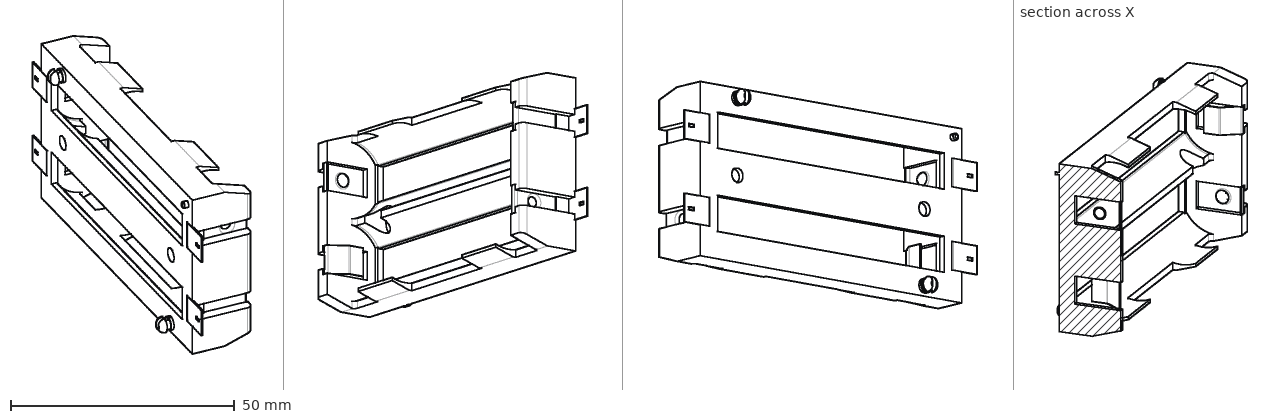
import cadquery as cq
import math

housing_length = 77.0
housing_width = 39.8
wall_height = 15.0
shoulder_height = 8.0
wall_top_width = 35.35
wall_edge_radius = 1.3
inner_length = 68.45
rail_height = 7.2
rail_fillet = 0.9

cell_pitch = 19.0
cell_radius = 8.9
cell_axis_height = 9.2
floor_thickness = 1.55
window_length = 66.6
window_width = 8.25

clip_height = 12.7
clip_length = 12.7
clip_offset = 19.35

screw_offset = 27.5
screw_hole_diameter = 3.3
screw_head_diameter = 6.2
screw_seat_height = 1.3

peg_offset_z = 17.55
peg_collar_diameter = 3.3
peg_collar_height = 0.7
peg_neck_diameter = 2.75
peg_head_base = 1.8
peg_head_diameter = 3.8
peg_tip_diameter = 1.7
peg_height = 3.35
peg_slot_width = 1.0
peg_slot_start = 0.5
pin_offset_x = 35.9
pin_diameter = 1.55
pin_height = 1.3
pin_chamfer = 0.35

sheet = 0.35
contact_width = 6.5
tab_end = 43.0
plate_face = 35.95
foot_bend_radius = 0.3
plate_base = 3.9
contact_top = 14.9
spring_bend_radius = 0.6
spring_tilt = 33.0
leaf_face = 31.9
leaf_bend_radius = 0.4
leaf_bottom = 6.7
button_bend_radius = 0.3
lip_end = 34.5

tab_hole_length = 1.5
tab_hole_width = 0.7
tab_hole_x = 41.0

dimple_height = 9.8
dimple_diameter = 3.8
dimple_mouth_radius = 1.2
dimple_depth = 1.7

outer_slot_width = 3.9
outer_slot_floor = 36.4

half_length = housing_length / 2
half_width = housing_width / 2
half_inner = inner_length / 2
cell_z = cell_pitch / 2
plate_middle = plate_face - sheet / 2
plate_back = plate_face - sheet


def block(x0, x1, y0, y1, z0, z1):
    """Box between two opposite corners."""
    return cq.Workplane("XY").box(x1 - x0, y1 - y0, z1 - z0, centered=False).translate((x0, y0, z0))


def cylinder_y(x, z, diameter, y0, y1):
    """Cylinder parallel to Y between two heights."""
    return cq.Workplane("XZ", origin=(x, y0, z)).circle(diameter / 2).extrude(y0 - y1)


def on_side(shape, side):
    """A shape drawn for the +X end, mirrored for the -X end."""
    return shape if side > 0 else shape.mirror("YZ")


def make_shell():
    """Outer block with rounded end edges, cut down to the rails and clips between the end walls."""
    top = wall_top_width / 2
    shell = (
        cq.Workplane("YZ")
        .polyline([
            (0, -half_width), (shoulder_height, -half_width), (wall_height, -top),
            (wall_height, top), (shoulder_height, half_width), (0, half_width),
        ])
        .close()
        .extrude(half_length, both=True)
        .edges("|Z and >Y")
        .fillet(wall_edge_radius)
    )
    opening = block(-half_inner, half_inner, rail_height, wall_height, -half_width, half_width)
    opening = opening.edges("|Z and <Y").fillet(rail_fillet)
    for x in (-clip_offset, clip_offset):
        for z0, z1 in ((-half_width, -cell_z), (cell_z, half_width)):
            opening = opening.cut(block(x - clip_length / 2, x + clip_length / 2, rail_height, clip_height, z0, z1))
    return shell.cut(opening)


def make_cell_beds():
    """Space for both cells, with the windows through the floor."""
    beds = None
    for z in (-cell_z, cell_z):
        bed = (
            cq.Workplane("YZ", origin=(0, cell_axis_height, z))
            .circle(cell_radius)
            .extrude(window_length / 2, both=True)
        )
        window = block(
            -window_length / 2, window_length / 2, 0, cell_axis_height,
            z - window_width / 2, z + window_width / 2,
        )
        end_space = block(
            -half_inner, half_inner, floor_thickness, wall_height,
            z - cell_radius, z + cell_radius,
        )
        bed = bed.union(window).union(end_space.intersect(
            cq.Workplane("YZ", origin=(0, cell_axis_height, z)).circle(cell_radius).extrude(half_inner, both=True)
        ))
        beds = bed if beds is None else beds.union(bed)
    return beds


def make_contact_space(z):
    """Recess, slit and wall openings that take one contact at the +X end."""
    z0, z1 = z - contact_width / 2, z + contact_width / 2
    inside_radius = foot_bend_radius - sheet / 2
    foot_space = (
        cq.Workplane("XY", origin=(0, 0, z0))
        .moveTo(plate_back, 0)
        .lineTo(half_length, 0)
        .lineTo(half_length, sheet)
        .lineTo(plate_face + inside_radius, sheet)
        .radiusArc((plate_face, sheet + inside_radius), inside_radius)
        .lineTo(plate_face, plate_base)
        .lineTo(plate_back, plate_base)
        .close()
        .extrude(contact_width)
    )
    inner_opening = block(half_inner, plate_face, plate_base, wall_height, z0, z1)
    s0, s1 = z - outer_slot_width / 2, z + outer_slot_width / 2
    outer_slot = block(outer_slot_floor, half_length, 0, wall_height, s0, s1)
    through_slot = block(plate_face, half_length, plate_base, wall_height, s0, s1)
    return foot_space.union(inner_opening).union(outer_slot).union(through_slot)


def make_peg():
    """Snap peg pointing to -Y, split by a slot."""
    peg = (
        cq.Workplane("XY")
        .moveTo(0, 0)
        .lineTo(peg_collar_diameter / 2, 0)
        .lineTo(peg_collar_diameter / 2, -peg_collar_height)
        .lineTo(peg_neck_diameter / 2, -peg_collar_height)
        .lineTo(peg_neck_diameter / 2, -peg_head_base)
        .lineTo(peg_head_diameter / 2, -peg_head_base)
        .radiusArc((peg_tip_diameter / 2, -peg_height), peg_head_diameter / 2)
        .lineTo(0, -peg_height)
        .close()
        .revolve(360, (0, 0, 0), (0, 1, 0))
    )
    half_slot = peg_slot_width / 2
    reach = peg_head_diameter
    return peg.cut(block(-half_slot, half_slot, -peg_height, -peg_slot_start, -reach, reach))


def make_housing():
    """Housing with its cell beds, screw holes, contact spaces, pegs and pin."""
    housing = make_shell().cut(make_cell_beds())
    for x in (-screw_offset, screw_offset):
        housing = housing.cut(cylinder_y(x, 0, screw_hole_diameter, 0, wall_height))
        housing = housing.cut(cylinder_y(x, 0, screw_head_diameter, screw_seat_height, wall_height))
    for side in (-1, 1):
        for z in (-cell_z, cell_z):
            housing = housing.cut(on_side(make_contact_space(z), side))
        housing = housing.union(make_peg().translate((side * screw_offset, 0, -side * peg_offset_z)))
    pin = cylinder_y(pin_offset_x, peg_offset_z, pin_diameter, -pin_height, 0)
    return housing.union(pin.faces("<Y").chamfer(pin_chamfer))


def start_strip(bend_radius):
    """Middle line of the sheet from the tab end up to the start of the bend at the top."""
    return (
        cq.Workplane("XY")
        .moveTo(tab_end, sheet / 2)
        .lineTo(plate_middle + foot_bend_radius, sheet / 2)
        .radiusArc((plate_middle, sheet / 2 + foot_bend_radius), foot_bend_radius)
        .lineTo(plate_middle, contact_top - sheet / 2 - bend_radius)
    )


def bend_strip(path, z):
    """Strip of sheet that follows a middle line, with the solder hole in its tab."""
    strip = (
        cq.Workplane("YZ", origin=(tab_end, sheet / 2, 0))
        .rect(sheet, contact_width)
        .sweep(path)
    )
    hole = cq.Workplane("XZ", origin=(tab_hole_x, 0, 0)).rect(tab_hole_length, tab_hole_width)
    return strip.cut(hole.extrude(-sheet)).translate((0, 0, z))


def make_spring_contact(z):
    """Contact at the +X end with a slanted leaf that bears on the cell."""
    tilt = math.radians(spring_tilt)
    bend_x = plate_middle - spring_bend_radius
    bend_y = contact_top - sheet / 2 - spring_bend_radius
    slant_x = bend_x - spring_bend_radius * math.cos(tilt)
    slant_y = bend_y + spring_bend_radius * math.sin(tilt)
    leaf_x = leaf_face + sheet / 2
    corner_y = slant_y - (slant_x - leaf_x) / math.tan(tilt)
    setback = leaf_bend_radius * math.tan(tilt / 2)
    path = (
        start_strip(spring_bend_radius)
        .threePointArc((bend_x, bend_y + spring_bend_radius), (slant_x, slant_y))
        .lineTo(leaf_x + setback * math.sin(tilt), corner_y + setback * math.cos(tilt))
        .radiusArc((leaf_x, corner_y - setback), -leaf_bend_radius)
        .lineTo(leaf_x, leaf_bottom)
    )
    return bend_strip(path, z)


def cap_middle(radius, base, apex):
    """Point halfway along a round cap from its rim to its apex, as (radius, depth)."""
    height = apex - base
    sphere = (radius ** 2 + height ** 2) / (2 * height)
    half_angle = math.asin(radius / sphere) / 2
    return sphere * math.sin(half_angle), apex - sphere * (1 - math.cos(half_angle))


def make_dimple():
    """Pressed dome with a rounded lip; its axis is X and its depth runs towards -X."""
    rim = dimple_diameter / 2
    lip = rim - dimple_mouth_radius
    dome_rim = dimple_mouth_radius + sheet
    hollow_depth = dimple_depth - sheet
    hollow_middle = cap_middle(dimple_mouth_radius, lip, hollow_depth)
    dome_middle = cap_middle(dome_rim, lip, dimple_depth)
    return (
        cq.Workplane("XY")
        .moveTo(0, rim)
        .radiusArc((-lip, dimple_mouth_radius), lip)
        .threePointArc((-hollow_middle[1], hollow_middle[0]), (-hollow_depth, 0))
        .lineTo(-dimple_depth, 0)
        .threePointArc((-dome_middle[1], dome_middle[0]), (-lip, dome_rim))
        .radiusArc((-sheet, rim), -(lip - sheet))
        .close()
        .revolve(360, (0, 0, 0), (1, 0, 0))
        .translate((plate_face, dimple_height, 0))
    )


def make_button_contact(z):
    """Contact at the +X end with a short top lip and a dimple that meets the cell's button."""
    path = (
        start_strip(button_bend_radius)
        .radiusArc((plate_middle - button_bend_radius, contact_top - sheet / 2), -button_bend_radius)
        .lineTo(lip_end, contact_top - sheet / 2)
    )
    opening = (
        cq.Workplane("YZ", origin=(plate_back, dimple_height, z))
        .circle(dimple_diameter / 2)
        .extrude(sheet)
    )
    return bend_strip(path, z).cut(opening).union(make_dimple().translate((0, 0, z)))


housing = make_housing()
spring_contacts = []
button_contacts = []
for side in (-1, 1):
    spring_contacts.append(on_side(make_spring_contact(-side * cell_z), side))
    button_contacts.append(on_side(make_button_contact(side * cell_z), side))

contacts = [contact.val() for contact in spring_contacts + button_contacts]
result = cq.Compound.makeCompound([housing.val(), *contacts])